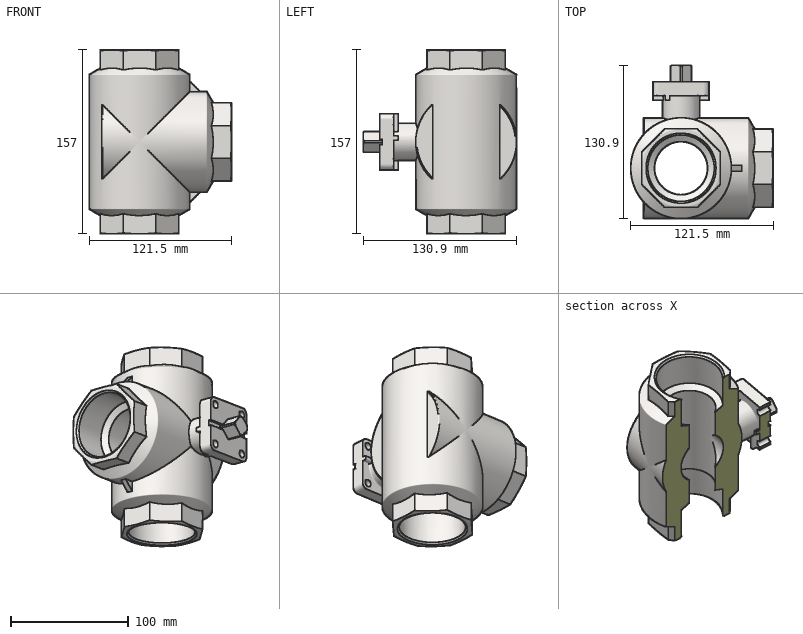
import cadquery as cq
import math


OVERLAP = 1.5

PORT_END = 78.5
BARREL_DIA = 86.0
BARREL_END = 57.5
SHOULDER_SLOPE = 30.0
SHOULDER_ROUND = 1.0
BRANCH_BACK = 32.2
BACK_ROUND = 1.0

OCTAGON_SIDES = 8
OCTAGON_FLATS = 67.0
OCTAGON_FACE_DIA = 66.4
OCTAGON_BEVEL = 15.0

PORT_BORE_DIA = 56.7
PORT_BORE_DEPTH = 31.1
PORT_BORE_CHAMFER = 1.5
WATERWAY_DIA = 45.0
SEAT_SLOPE = 30.0

GUSSET_THICKNESS = 5.0
GUSSET_REACH = 94.7

NECK_DIA = 32.0
NECK_START = 31.4
NECK_FILLET = 1.0
FLANGE_SIZE = 48.0
FLANGE_BOTTOM = 61.9
FLANGE_TOP = 73.8
FLANGE_CORNER = 5.0
BOLT_CIRCLE_DIA = 50.0
BOLT_HOLE_DIA = 6.5
SLOT_WIDTH = 4.7
SLOT_DEPTH = 2.4

RIB_WIDTH = 4.0
RIB_HEIGHT = 4.1
RIB_ROUND = 1.4
RIB_FILLET = 0.5
RIB_INNER_END = 7.8
LONG_RIB_OFFSET = 11.6
SHORT_RIB_OFFSET = 3.3

STEM_TIP = 87.9
STEM_SQUARE = 14.0
STEM_ACROSS_CORNERS = 18.0
STEM_CHAMFER = 1.0

BARREL_R = BARREL_DIA / 2
OCTAGON_CORNER_DIA = OCTAGON_FLATS / math.cos(math.pi / OCTAGON_SIDES)
BOLT_OFFSET = BOLT_CIRCLE_DIA / 2 / math.sqrt(2)
FLANGE_HALF = FLANGE_SIZE / 2


def revolve_z(outline):
    """Turn a closed (radius, z) outline about the Z axis."""
    return cq.Workplane("XZ").polyline(outline).close().revolve(360, (0, 0), (0, 1))


def along_x(shape):
    """Lay a shape built along +Z down along +X."""
    return shape.rotate((0, 0, 0), (0, 1, 0), 90)


def downward(shape):
    """Turn a shape built along +Z over to -Z."""
    return shape.rotate((0, 0, 0), (1, 0, 0), 180)


def port_outside(start):
    """Barrel from z = start with a coned shoulder and an octagonal end."""
    slope = math.tan(math.radians(SHOULDER_SLOPE))
    cone_top_r = OCTAGON_FLATS / 2 - OVERLAP
    cone_top = BARREL_END + (BARREL_R - cone_top_r) * slope
    barrel = revolve_z([
        (0, start), (BARREL_R, start), (BARREL_R, BARREL_END), (cone_top_r, cone_top), (0, cone_top),
    ])
    rim = cq.selectors.NearestToPointSelector((0, 0, BARREL_END))
    barrel = barrel.edges(rim).fillet(SHOULDER_ROUND)

    octagon = (
        cq.Workplane("XY")
        .polygon(OCTAGON_SIDES, OCTAGON_CORNER_DIA)
        .extrude(PORT_END)
        .rotate((0, 0, 0), (0, 0, 1), 180 / OCTAGON_SIDES)
    )
    corner_r = OCTAGON_CORNER_DIA / 2 + OVERLAP
    face_r = OCTAGON_FACE_DIA / 2
    bevel_start = PORT_END - (corner_r - face_r) * math.tan(math.radians(OCTAGON_BEVEL))
    envelope = revolve_z([
        (0, 0), (corner_r, 0), (corner_r, bevel_start), (face_r, PORT_END), (0, PORT_END),
    ])
    return barrel.union(octagon.intersect(envelope))


def port_bore():
    """Chamfered port bore, conical seat and waterway reaching the centre."""
    bore_r = PORT_BORE_DIA / 2
    waterway_r = WATERWAY_DIA / 2
    bore_bottom = PORT_END - PORT_BORE_DEPTH
    seat_bottom = bore_bottom - (bore_r - waterway_r) * math.tan(math.radians(SEAT_SLOPE))
    return revolve_z([
        (0, 0), (waterway_r, 0), (waterway_r, seat_bottom), (bore_r, bore_bottom),
        (bore_r, PORT_END - PORT_BORE_CHAMFER), (bore_r + PORT_BORE_CHAMFER, PORT_END), (0, PORT_END),
    ])


def gussets():
    """Thin webs in the corners between the branch and the run."""
    return (
        cq.Workplane("XZ")
        .polyline([(0, -GUSSET_REACH), (GUSSET_REACH, 0), (0, GUSSET_REACH)])
        .close()
        .extrude(GUSSET_THICKNESS / 2, both=True)
        .intersect(cq.Workplane("XY").box(2 * BARREL_END, GUSSET_THICKNESS, 2 * BARREL_END))
    )


def neck():
    """Round neck from the body to the flange, filleted at the flange."""
    r = NECK_DIA / 2
    return (
        cq.Workplane("XY")
        .moveTo(0, NECK_START)
        .lineTo(r, NECK_START)
        .lineTo(r, FLANGE_BOTTOM - NECK_FILLET)
        .radiusArc((r + NECK_FILLET, FLANGE_BOTTOM), NECK_FILLET)
        .lineTo(0, FLANGE_BOTTOM)
        .close()
        .revolve(360, (0, 0), (0, 1))
    )


def flange_plate():
    """Square plate with rounded corners, bolt holes and a groove across its top."""
    middle = (FLANGE_BOTTOM + FLANGE_TOP) / 2
    thickness = FLANGE_TOP - FLANGE_BOTTOM
    plate = cq.Workplane("XY").box(FLANGE_SIZE, thickness, FLANGE_SIZE).edges("|Y").fillet(FLANGE_CORNER)
    holes = (
        cq.Workplane("XZ")
        .rect(2 * BOLT_OFFSET, 2 * BOLT_OFFSET, forConstruction=True)
        .vertices()
        .circle(BOLT_HOLE_DIA / 2)
        .extrude(thickness, both=True)
    )
    slot = cq.Workplane("XY").box(FLANGE_SIZE, 2 * SLOT_DEPTH, SLOT_WIDTH).translate((0, thickness / 2, 0))
    return plate.cut(holes).cut(slot).translate((0, middle, 0))


def rib(offset):
    """Rib under the flange running along +Z at x = -offset, rounded below and filleted at its root."""
    half = RIB_WIDTH / 2
    tip = FLANGE_BOTTOM - RIB_HEIGHT
    root = FLANGE_BOTTOM - RIB_FILLET
    return (
        cq.Workplane("XY", origin=(-offset, 0, RIB_INNER_END))
        .moveTo(-half - RIB_FILLET, FLANGE_BOTTOM)
        .radiusArc((-half, root), RIB_FILLET)
        .lineTo(-half, tip + RIB_ROUND)
        .radiusArc((-half + RIB_ROUND, tip), -RIB_ROUND)
        .lineTo(half - RIB_ROUND, tip)
        .radiusArc((half, tip + RIB_ROUND), -RIB_ROUND)
        .lineTo(half, root)
        .radiusArc((half + RIB_FILLET, FLANGE_BOTTOM), RIB_FILLET)
        .lineTo(half + RIB_FILLET, FLANGE_BOTTOM + OVERLAP)
        .lineTo(-half - RIB_FILLET, FLANGE_BOTTOM + OVERLAP)
        .close()
        .extrude(FLANGE_HALF - RIB_INNER_END)
    )


def ribs():
    """Two ribs and their copies turned half a turn about the stem axis."""
    long_rib = rib(LONG_RIB_OFFSET)
    short_rib = rib(-SHORT_RIB_OFFSET).rotate((0, 0, 0), (0, 1, 0), -90)
    pair = long_rib.union(short_rib)
    return pair.union(pair.rotate((0, 0, 0), (0, 1, 0), 180))


def stem():
    """Square drive standing on its corner, with flattened corners and a chamfered tip."""
    start = FLANGE_BOTTOM
    length = STEM_TIP - start
    square = (
        cq.Workplane("XY")
        .box(STEM_SQUARE, length, STEM_SQUARE)
        .rotate((0, 0, 0), (0, 1, 0), 45)
    )
    tip_r = STEM_ACROSS_CORNERS / 2 - STEM_CHAMFER
    blank_r = STEM_ACROSS_CORNERS / 2 + OVERLAP
    corners = cq.Workplane("XY").box(STEM_ACROSS_CORNERS, length, STEM_ACROSS_CORNERS)
    tip_round = (
        cq.Workplane("XZ", origin=(0, length / 2, 0))
        .circle(blank_r)
        .extrude(length)
        .faces(">Y")
        .chamfer(blank_r - tip_r)
    )
    return square.intersect(corners).intersect(tip_round).translate((0, start + length / 2, 0))


run_half = port_outside(0)
branch = port_outside(-BRANCH_BACK).faces("<Z").edges().fillet(BACK_ROUND)
body = run_half.union(downward(run_half)).union(along_x(branch)).union(gussets())
flange = flange_plate().union(ribs())
body = body.union(flange).union(neck()).union(stem())

bore = port_bore()
for waterway in (bore, downward(bore), along_x(bore)):
    body = body.cut(waterway)

result = body